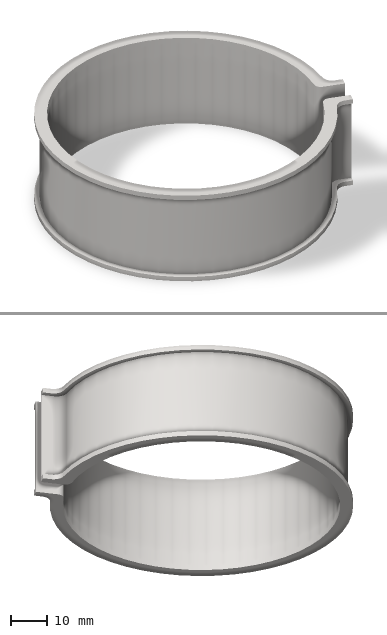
import cadquery as cq
import math

height = 28.0
rim_height = 1.4
inner_radius = 38.1
web_diameter = 80.3
web_radius = web_diameter / 2
rim_diameter = 83.3
rim_radius = rim_diameter / 2

overall_length = 87.8
ear_end = overall_length - rim_radius
gap = 6.0
web_ear_thickness = 0.8
rim_ear_thickness = 2.3
outer_fillet = 3.0
inner_fillet = 2.0


def split_ring(outer_radius, ear_thickness, layer_height, base_z):
    """One layer of the ring, with its ears and blended split corners."""
    ear_outer_x = gap / 2 + ear_thickness
    ring = cq.Workplane("XY").circle(outer_radius).extrude(layer_height)
    ears = (
        cq.Workplane("XY")
        .rect(2 * ear_outer_x, ear_end, centered=(True, False))
        .extrude(layer_height)
    )
    bore = cq.Workplane("XY").circle(inner_radius).extrude(layer_height)
    split = cq.Workplane("XY").rect(gap, ear_end, centered=(True, False)).extrude(layer_height)
    layer = ring.union(ears).cut(bore).cut(split)

    layer = fillet_corners(layer, ear_outer_x, outer_radius, outer_fillet)
    layer = fillet_corners(layer, gap / 2, inner_radius, inner_fillet)
    return layer.translate((0, 0, base_z))


def fillet_corners(layer, corner_x, corner_radius, fillet_radius):
    """Round the mirrored vertical edges where an ear face meets a circle."""
    corner_y = math.sqrt(corner_radius**2 - corner_x**2)
    for side in (-1, 1):
        corner = cq.selectors.NearestToPointSelector((side * corner_x, corner_y, layer.val().Center().z))
        layer = layer.edges("|Z").edges(corner).fillet(fillet_radius)
    return layer


web = split_ring(web_radius, web_ear_thickness, height, 0)
bottom_rim = split_ring(rim_radius, rim_ear_thickness, rim_height, 0)
top_rim = split_ring(rim_radius, rim_ear_thickness, rim_height, height - rim_height)
result = web.union(bottom_rim).union(top_rim)